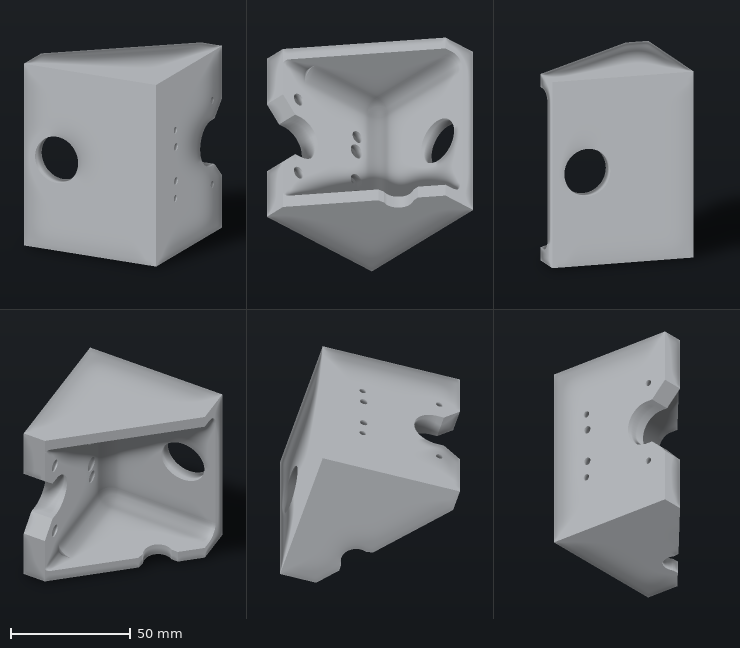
import cadquery as cq
import math

length_x = 62.5
depth_y = 60.0
height_z = 80.0
mid_z = height_z / 2

end_face_width = 15.8
far_face_width = 10.0

side_wall = 5.5
front_wall = 6.0
back_wall = far_face_width
cavity_fillet = 6.0

relief_fillet = 2.0
relief_start_y = 47.5

window_diameter = 20.32
window_x = 15.5

notch_half_width = 10.0
notch_center_y = 50.0
notch_chamfer = 7.0

edge_holes = (51.0, 18.5, 2.9, 5.5)
outer_holes = (17.5, 15.0, 2.9, 5.5)
inner_holes = (18.0, 7.5, 3.4, 6.5)
counterbore_depth = 3.0

opening_radius = 6.5
opening_distance = 20.0
opening_mouth_half_width = 8.4
throat_depth = 2.0

cavity_back_x = length_x - back_wall
slope_end_x = length_x - far_face_width
slope_angle = math.atan2(depth_y - end_face_width, slope_end_x)


def box(x_min, x_max, y_min, y_max, z_min, z_max):
    size = (x_max - x_min, y_max - y_min, z_max - z_min)
    return cq.Workplane("XY").box(*size, centered=False).translate((x_min, y_min, z_min))


def make_block():
    outline = [
        (0, 0),
        (length_x, 0),
        (length_x, depth_y),
        (slope_end_x, depth_y),
        (0, end_face_width),
    ]
    return cq.Workplane("XY").polyline(outline).close().extrude(height_z)


def make_cavity():
    overrun = 2 * cavity_fillet
    x_range = (-overrun, cavity_back_x)
    z_range = (side_wall, height_z - side_wall)
    main = box(*x_range, front_wall, depth_y + overrun, *z_range)
    back_edges = main.faces(">X").edges("not >Y")
    corner_edges = main.faces("<Y").edges("|X")
    main = main.newObject(back_edges.vals() + corner_edges.vals()).fillet(cavity_fillet)
    relief = box(*x_range, relief_start_y, depth_y + overrun, *z_range)
    relief = relief.faces(">X").edges("|Y").fillet(relief_fillet)
    return main.union(relief)


def make_window():
    return (
        cq.Workplane("XZ", origin=(window_x, 0, mid_z))
        .circle(window_diameter / 2)
        .extrude(-front_wall)
    )


def make_notch():
    notch_mouth_half_width = notch_half_width + notch_chamfer
    return (
        cq.Workplane("YZ", origin=(0, 0, mid_z))
        .moveTo(depth_y, -notch_mouth_half_width)
        .lineTo(depth_y - notch_chamfer, -notch_half_width)
        .lineTo(notch_center_y, -notch_half_width)
        .threePointArc(
            (notch_center_y - notch_half_width, 0), (notch_center_y, notch_half_width)
        )
        .lineTo(depth_y - notch_chamfer, notch_half_width)
        .lineTo(depth_y, notch_mouth_half_width)
        .close()
        .extrude(length_x)
    )


def make_hole_pair(y, offset_z, diameter, counterbore_diameter):
    centers = [(y, mid_z - offset_z), (y, mid_z + offset_z)]
    hole = cq.Workplane("YZ", origin=(cavity_back_x, 0, 0)).pushPoints(centers)
    through = hole.circle(diameter / 2).extrude(back_wall)
    counterbore = hole.circle(counterbore_diameter / 2).extrude(counterbore_depth)
    return through.union(counterbore)


def make_bottom_opening():
    center_x = opening_distance * math.cos(slope_angle)
    center_y = end_face_width + opening_distance * math.sin(slope_angle)
    slope_plane = cq.Plane(
        origin=(center_x, center_y, 0),
        xDir=(math.cos(slope_angle), math.sin(slope_angle), 0),
        normal=(0, 0, 1),
    )
    throat_half_width = math.sqrt(opening_radius**2 - throat_depth**2)
    round_part = cq.Workplane(slope_plane).circle(opening_radius).extrude(side_wall)
    flare = (
        cq.Workplane(slope_plane)
        .moveTo(-opening_mouth_half_width, 0)
        .lineTo(-throat_half_width, -throat_depth)
        .lineTo(throat_half_width, -throat_depth)
        .lineTo(opening_mouth_half_width, 0)
        .close()
        .extrude(side_wall)
    )
    return round_part.union(flare)


result = make_block().cut(make_cavity()).cut(make_window()).cut(make_notch())
result = result.cut(make_bottom_opening())
for hole_pair in (edge_holes, outer_holes, inner_holes):
    result = result.cut(make_hole_pair(*hole_pair))